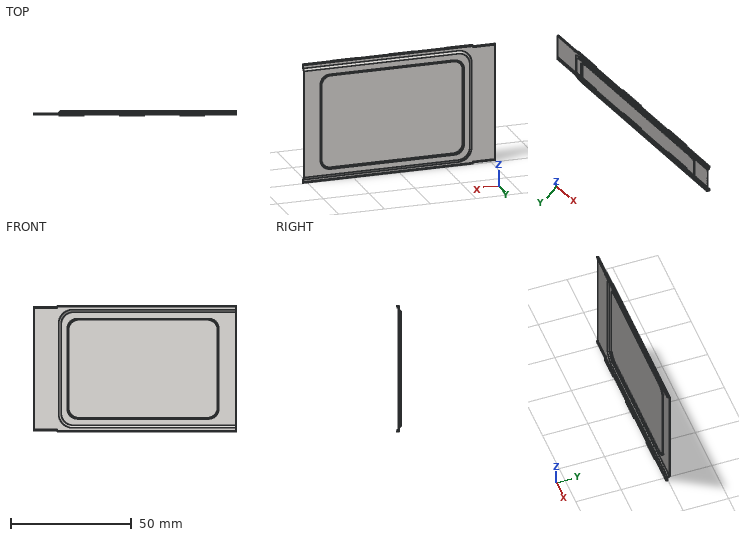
import cadquery as cq
import math


length = 83.8
height = 52.2
thickness = 2.0
sheet = 0.4

tab_tip = 0.0
lip_tip = 0.3
plate_front = 0.65
plate_back = plate_front + sheet
floor_back = tab_tip + thickness
floor_front = floor_back - sheet

grip_length = 9.5
grip_step = 0.5
grip_height = height - 2 * grip_step
slope_length = 0.4

lip_width = 0.3
lip_bend_radius = 0.5
lip_inner_slope = 0.2

tab_width = 10.0
tab_pitch = 25.0
tab_count = 3
first_tab = 10.65

recess_wall_angle = math.radians(45)
recess_bend_radius = 0.7
recess_left = 10.42
recess_margin = 1.79
recess_half_height = height / 2 - recess_margin
recess_overrun = 2 * length
recess_corner = 5.8
recess_depth = floor_front - plate_front
recess_wall_run = recess_depth / math.tan(recess_wall_angle)
recess_skin = sheet * math.tan(recess_wall_angle / 2)

panel_left = 13.85
panel_right = 76.6
panel_margin = 5.3
panel_half_height = height / 2 - panel_margin
panel_corner = 4.4
panel_wall_run = 0.6
panel_rise = 0.25


def box(x0, x1, y0, y1, z0, z1):
    """Axis-aligned block between the given limits."""
    return cq.Workplane("XY").box(x1 - x0, y1 - y0, z1 - z0, centered=False).translate((x0, y0, z0))


def frustum(x0, x1, half_height, corner, run, y0, y1):
    """Rounded rectangle at y0 that shrinks by `run` on every side on its way to y1."""
    wide = cq.Sketch().rect(x1 - x0, 2 * half_height).vertices().fillet(corner)
    narrow = cq.Sketch().rect(x1 - x0 - 2 * run, 2 * (half_height - run)).vertices().fillet(corner - run)
    base = cq.Workplane("XZ", origin=((x0 + x1) / 2, y0, 0))
    return base.placeSketch(wide, narrow.moved(cq.Location(cq.Vector(0, 0, y0 - y1)))).loft()


def tray_section(x, tall):
    """Cross-section at x: a flat sheet whose top and bottom edges bend into lips at the front."""
    half = tall / 2
    lip_inside = half - lip_width
    flat_front = lip_inside - lip_inner_slope
    flat_back = half - lip_bend_radius
    arc_inset = lip_bend_radius * (1 - math.sqrt(0.5))
    arc_middle = (plate_back - arc_inset, half - arc_inset)
    bend_start = plate_back - lip_bend_radius
    return (
        cq.Workplane("YZ", origin=(x, 0, 0))
        .moveTo(lip_tip, half)
        .lineTo(bend_start, half)
        .threePointArc(arc_middle, (plate_back, flat_back))
        .lineTo(plate_back, -flat_back)
        .threePointArc((arc_middle[0], -arc_middle[1]), (bend_start, -half))
        .lineTo(lip_tip, -half)
        .lineTo(lip_tip, -lip_inside)
        .lineTo(plate_front, -flat_front)
        .lineTo(plate_front, flat_front)
        .lineTo(lip_tip, lip_inside)
        .close()
    )


def tray():
    """Narrow grip, sloped transition and wide part of the sheet with its lips."""
    wide_start = grip_length + slope_length
    grip = tray_section(0, grip_height).extrude(grip_length)
    wide = tray_section(wide_start, height).extrude(length - wide_start)
    ends = [tray_section(grip_length, grip_height), tray_section(wide_start, height)]
    slope = cq.Solid.makeLoft([end.wire().val() for end in ends], True)
    return grip.union(cq.Workplane(slope)).union(wide)


def snap_tabs():
    """Short extensions of both lips towards the front."""
    tabs = cq.Workplane("XY")
    for index in range(tab_count):
        x0 = first_tab + index * tab_pitch
        for z0 in (-height / 2, height / 2 - lip_width):
            tabs = tabs.union(box(x0, x0 + tab_width, tab_tip, lip_tip, z0, z0 + lip_width))
    return tabs


def recess_form(skin, mouth, floor):
    """Recess volume enlarged by `skin`, running past the right end."""
    return frustum(recess_left - skin, recess_overrun, recess_half_height + skin, recess_corner + skin,
                   recess_wall_run, mouth, floor)


def press_recess(body):
    """Add the recess bulge at the back, hollow it from the front and round its bends."""
    bulge = recess_form(recess_skin, plate_back, floor_back).faces(">Y").edges().fillet(recess_bend_radius)
    inside_length = box(0, length, plate_back, floor_back, -height / 2, height / 2)
    hollow = recess_form(0, plate_front, floor_front)
    body = body.union(bulge.intersect(inside_length)).cut(hollow)
    mouth_start = cq.selectors.NearestToPointSelector((recess_left, plate_front, 0))
    return body.edges(mouth_start).fillet(recess_bend_radius)


def panel_form(floor):
    """Volume by which the panel rises from the given floor depth."""
    return frustum(panel_left, panel_right, panel_half_height, panel_corner, panel_wall_run,
                   floor, floor - panel_rise)


def raise_panel(body):
    """Lift the panel on the front and leave the matching dent at the back."""
    return body.union(panel_form(floor_front)).cut(panel_form(floor_back))


result = raise_panel(press_recess(tray().union(snap_tabs())))